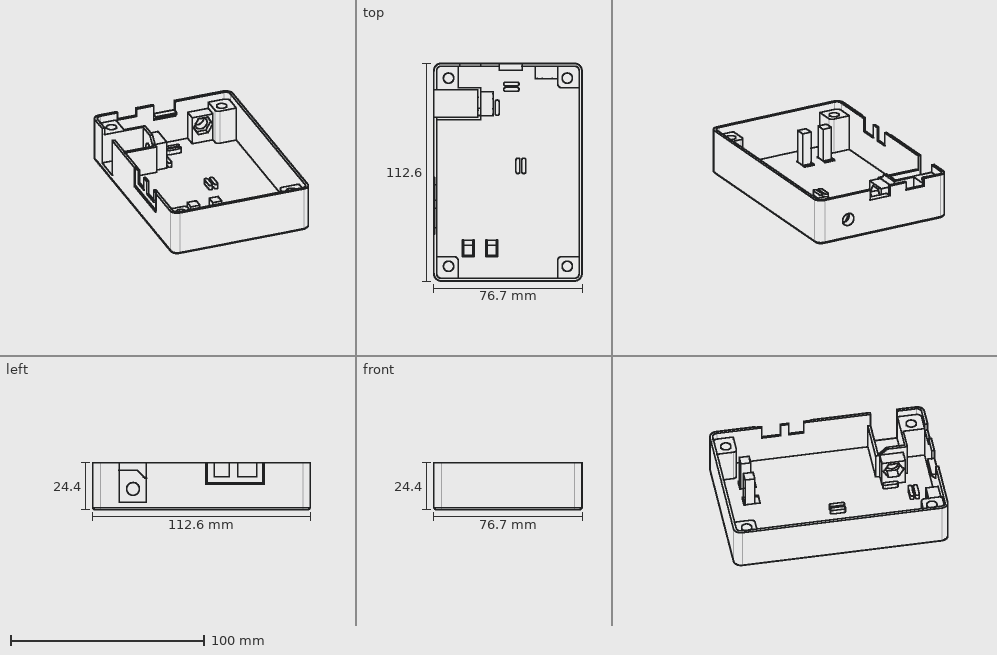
import cadquery as cq
LENGTH = 112.6
WIDTH = 76.7
HEIGHT = 24.4
WALL = 1.5
FLOOR = 1.5
CORNER_RADIUS = 3.9
BOTTOM_CHAMFER = 1.0

WEST = -WIDTH / 2
EAST = WIDTH / 2
NORTH = LENGTH / 2

POST_SIZE = 12.6
POST_TOP = HEIGHT - 4.0
POST_INSET = 7.7
POST_HOLE = 5.3
POST_HOLE_FLOOR = FLOOR
POST_ROUND = 2.0

ALCOVE_SOUTH = 28.5
ALCOVE_NORTH = 42.6
ALCOVE_DEPTH = 22.9
ALCOVE_EAST = WEST + ALCOVE_DEPTH
ALCOVE_FLOOR = 3.9
ALCOVE_CHAMFER = 3.9
ALCOVE_LOW_EDGE = 29.2
ALCOVE_LOW_TOP = POST_TOP - ALCOVE_CHAMFER

BLOCK_WIDTH = 12.3
BLOCK_DEPTH = 7.9
BLOCK_TOP = 16.8
NUT_ACROSS_CORNERS = 10.6
NORTH_NUT_DEPTH = 3.0
ALCOVE_NUT_DEPTH = 4.8
NUT_HOLE = 6.6
NUT_AXIS_Z = 10.8
NORTH_BLOCK_X = 20.4
ALCOVE_BLOCK_Y = 35.4

NOTCH_1_WEST = -24.8
NOTCH_1_EAST = -14.1
NOTCH_1_DEPTH = 4.3
NOTCH_2_WEST = -4.5
NOTCH_2_EAST = 7.3
NOTCH_2_DEPTH = 5.4
LEDGE_REACH = 3.6
LEDGE_LIP = 0.9

RECESS_SOUTH = -32.4
RECESS_NORTH = -2.3
RECESS_DROP = 11.1
RECESS_DEPTH = 0.5
RECESS_SLOPE = 0.7
WINDOW_DROP = 7.3
WINDOWS = [(-14.4, -6.5), (-28.6, -18.7)]

RIB_LENGTH = 8.0
RIB_WIDTH = 2.0
RIB_HEIGHT = 2.5
RIBS_ALONG_X = [(1.8, 45.6), (1.8, 42.8)]
RIBS_ALONG_Y = [(-5.5, 33.3), (5.2, 3.3), (8.2, 3.3)]

BUTTON_XS = [-20.5, -8.3]
BUTTON_WIDTH = 5.0
BUTTON_SOUTH = -43.0
PILLAR_LENGTH = 5.2
PILLAR_TOP = 18.8
TONGUE_LENGTH = 7.9
TONGUE_THICKNESS = 1.0
SLIT = 0.5


def box(x_range, y_range, z_range):
    """Axis-aligned box between the given limits."""
    (x0, x1), (y0, y1), (z0, z1) = x_range, y_range, z_range
    return cq.Workplane("XY").box(x1 - x0, y1 - y0, z1 - z0, centered=False).translate((x0, y0, z0))


def envelope():
    """Outer shape of the tray, filled solid."""
    block = cq.Workplane("XY").box(WIDTH, LENGTH, HEIGHT, centered=(True, True, False))
    return block.edges("|Z").fillet(CORNER_RADIUS).faces("<Z").chamfer(BOTTOM_CHAMFER)


def cavity():
    width = WIDTH - 2 * WALL
    length = LENGTH - 2 * WALL
    block = cq.Workplane("XY", origin=(0, 0, FLOOR)).rect(width, length).extrude(HEIGHT)
    return block.edges("|Z").fillet(CORNER_RADIUS - WALL)


def corner_post(side_x, side_y):
    """Square post in one corner; side_x and side_y are -1 or 1."""
    centre = (side_x * (EAST - POST_SIZE / 2), side_y * (NORTH - POST_SIZE / 2), 0)
    post = cq.Workplane("XY", origin=centre).rect(POST_SIZE, POST_SIZE).extrude(POST_TOP)
    joins_alcove = side_x < 0 < side_y
    if joins_alcove:
        return post
    inner_x = "<X" if side_x > 0 else ">X"
    inner_y = "<Y" if side_y > 0 else ">Y"
    return post.faces(inner_x).edges("|Z").edges(inner_y).fillet(POST_ROUND)


def corner_posts():
    posts = corner_post(-1, -1)
    for side_x, side_y in [(-1, 1), (1, -1), (1, 1)]:
        posts = posts.union(corner_post(side_x, side_y))
    return posts


def post_holes():
    spots = cq.Workplane("XY", origin=(0, 0, POST_HOLE_FLOOR))
    spots = spots.rect(WIDTH - 2 * POST_INSET, LENGTH - 2 * POST_INSET, forConstruction=True)
    return spots.vertices().circle(POST_HOLE / 2).extrude(HEIGHT)


def alcove_walls():
    """Solid block around the alcove, its top sloping down to the low south wall."""
    south = ALCOVE_SOUTH - WALL
    north = NORTH - POST_SIZE
    profile = [
        (south, 0),
        (south, ALCOVE_LOW_TOP),
        (ALCOVE_LOW_EDGE, ALCOVE_LOW_TOP),
        (ALCOVE_LOW_EDGE + ALCOVE_CHAMFER, POST_TOP),
        (north, POST_TOP),
        (north, 0),
    ]
    outline = cq.Workplane("YZ", origin=(WEST, 0, 0)).polyline(profile).close()
    return outline.extrude(ALCOVE_DEPTH + WALL)


def alcove_opening():
    return box((WEST, ALCOVE_EAST), (ALCOVE_SOUTH, ALCOVE_NORTH), (ALCOVE_FLOOR, HEIGHT))


def north_ledge():
    """Ledge under the second notch, carried by a 45 degree slope."""
    top = HEIGHT - NOTCH_2_DEPTH
    tip = NORTH - LEDGE_REACH
    root = NORTH - WALL
    profile = [
        (root, top),
        (tip, top),
        (tip, top - LEDGE_LIP),
        (root, top - LEDGE_LIP - (root - tip)),
    ]
    outline = cq.Workplane("YZ", origin=(NOTCH_2_WEST, 0, 0)).polyline(profile).close()
    return outline.extrude(NOTCH_2_EAST - NOTCH_2_WEST)


def north_notch(west, east, depth):
    return box((west, east), (NORTH - LEDGE_REACH, NORTH), (HEIGHT - depth, HEIGHT))


def north_block():
    half = BLOCK_WIDTH / 2
    x_range = (NORTH_BLOCK_X - half, NORTH_BLOCK_X + half)
    return box(x_range, (NORTH - BLOCK_DEPTH, NORTH), (0, BLOCK_TOP))


def alcove_block():
    half = BLOCK_WIDTH / 2
    y_range = (ALCOVE_BLOCK_Y - half, ALCOVE_BLOCK_Y + half)
    return box((ALCOVE_EAST, ALCOVE_EAST + BLOCK_DEPTH), y_range, (0, BLOCK_TOP))


def nut_cutter(pocket_depth):
    """Nut pocket and screw hole, running along +Y from the pocket's open face at Y = 0."""
    start = cq.Workplane("XZ", origin=(0, 0, NUT_AXIS_Z))
    pocket = start.polygon(6, NUT_ACROSS_CORNERS).extrude(-pocket_depth)
    return pocket.union(start.circle(NUT_HOLE / 2).extrude(-BLOCK_DEPTH))


def north_nut():
    return nut_cutter(NORTH_NUT_DEPTH).translate((NORTH_BLOCK_X, NORTH - BLOCK_DEPTH, 0))


def alcove_nut():
    turned = nut_cutter(ALCOVE_NUT_DEPTH).rotate((0, 0, 0), (0, 0, 1), 90)
    return turned.translate((ALCOVE_EAST + BLOCK_DEPTH, ALCOVE_BLOCK_Y, 0))


def west_recess():
    """Shallow recess, open at the rim, whose edges slope out to the wall face."""
    width = RECESS_NORTH - RECESS_SOUTH
    middle = (RECESS_NORTH + RECESS_SOUTH) / 2
    mouth = cq.Workplane("YZ", origin=(WEST, middle, HEIGHT)).rect(width, 2 * RECESS_DROP)
    bottom = mouth.workplane(offset=RECESS_DEPTH)
    bottom = bottom.rect(width - 2 * RECESS_SLOPE, 2 * (RECESS_DROP - RECESS_SLOPE))
    return bottom.loft()


def west_window(south, north):
    return box((WEST, WEST + WALL), (south, north), (HEIGHT - WINDOW_DROP, HEIGHT))


def rib(centre, angle):
    base = cq.Workplane("XY", origin=(*centre, 0))
    return base.slot2D(RIB_LENGTH, RIB_WIDTH, angle).extrude(FLOOR + RIB_HEIGHT)


def button_slit(x):
    """U-shaped slit through the floor around a tongue thinner than the floor."""
    half = BUTTON_WIDTH / 2
    north = BUTTON_SOUTH + TONGUE_LENGTH
    outer = box((x - half - SLIT, x + half + SLIT), (BUTTON_SOUTH - SLIT, north), (0, FLOOR))
    tongue = box((x - half, x + half), (BUTTON_SOUTH, north), (0, TONGUE_THICKNESS))
    return outer.cut(tongue)


def button_pillar(x):
    half = BUTTON_WIDTH / 2
    return box((x - half, x + half), (BUTTON_SOUTH, BUTTON_SOUTH + PILLAR_LENGTH), (0, PILLAR_TOP))


inside = corner_posts()
inside = inside.union(alcove_walls())
inside = inside.union(north_ledge())
inside = inside.union(north_block())
inside = inside.union(alcove_block())
for centre in RIBS_ALONG_X:
    inside = inside.union(rib(centre, 0))
for centre in RIBS_ALONG_Y:
    inside = inside.union(rib(centre, 90))

result = envelope().cut(cavity())
result = result.union(inside.intersect(envelope()))
result = result.cut(post_holes())
result = result.cut(alcove_opening())
result = result.cut(north_notch(NOTCH_1_WEST, NOTCH_1_EAST, NOTCH_1_DEPTH))
result = result.cut(north_notch(NOTCH_2_WEST, NOTCH_2_EAST, NOTCH_2_DEPTH))
result = result.cut(north_nut())
result = result.cut(alcove_nut())
result = result.cut(west_recess())
for south, north in WINDOWS:
    result = result.cut(west_window(south, north))
for x in BUTTON_XS:
    result = result.cut(button_slit(x)).union(button_pillar(x))